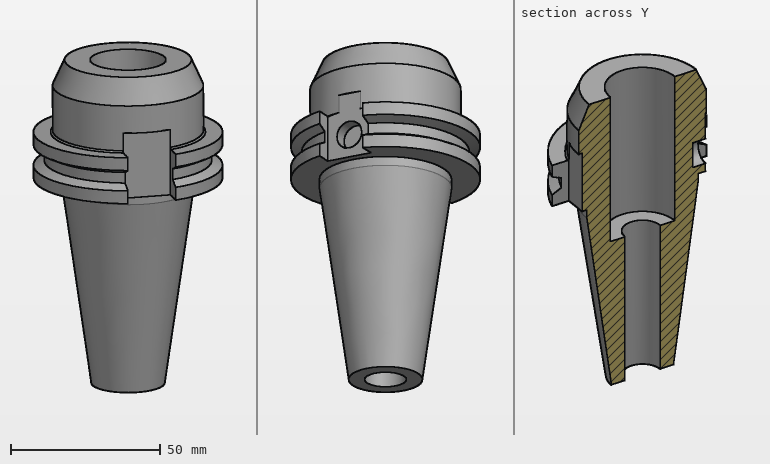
import cadquery as cq

total_height = 112.7
nose_cone_base = 103.8
drive_slot_top = 94.3
collar_top = 88.1
flange_top = 87.6
flange_bottom = 71.6
taper_top = 68.5
bore_floor = 56.4

nose_radius = 21.3
body_radius = 25.4
collar_radius = 26.0
flange_radius = 31.8
groove_radius = 28.2
taper_large_radius = 22.2
taper_small_radius = 12.4
bore_radius = 12.7
through_hole_radius = 7.0

groove_floor_width = 3.7
groove_mouth_width = 7.1
flange_middle = (flange_top + flange_bottom) / 2

slot_width = 16.6
left_slot_floor = 25.0
right_slot_floor = 24.0
side_hole_radius = 4.7
side_hole_depth = 5.0


def turned_body():
    """Revolve the nose, grooved flange and taper about Z."""
    half_floor = groove_floor_width / 2
    half_mouth = groove_mouth_width / 2
    profile = [
        (0, 0),
        (taper_small_radius, 0),
        (taper_large_radius, taper_top),
        (taper_large_radius, flange_bottom),
        (flange_radius, flange_bottom),
        (flange_radius, flange_middle - half_mouth),
        (groove_radius, flange_middle - half_floor),
        (groove_radius, flange_middle + half_floor),
        (flange_radius, flange_middle + half_mouth),
        (flange_radius, flange_top),
        (collar_radius, flange_top),
        (body_radius, collar_top),
        (body_radius, nose_cone_base),
        (nose_radius, total_height),
        (0, total_height),
    ]
    return cq.Workplane("XZ").polyline(profile).close().revolve(360, (0, 0), (0, 1))


def vertical_hole(radius, floor):
    """Cutter for an axial hole from the given floor up to the nose."""
    return cq.Workplane("XY").workplane(offset=floor).circle(radius).extrude(total_height - floor)


def drive_slot(side, floor_distance):
    """Cutter for a flat-floored slot on the +X (1) or -X (-1) side."""
    slot_height = drive_slot_top - flange_bottom
    return (
        cq.Workplane("XY")
        .box(flange_radius, slot_width, slot_height)
        .translate((
            side * (floor_distance + flange_radius / 2),
            0,
            flange_bottom + slot_height / 2,
        ))
    )


side_hole = (
    cq.Workplane("YZ")
    .workplane(offset=-left_slot_floor)
    .center(0, flange_middle)
    .circle(side_hole_radius)
    .extrude(side_hole_depth)
)

result = (
    turned_body()
    .cut(vertical_hole(bore_radius, bore_floor))
    .cut(vertical_hole(through_hole_radius, 0))
    .cut(drive_slot(-1, left_slot_floor))
    .cut(drive_slot(1, right_slot_floor))
    .cut(side_hole)
)